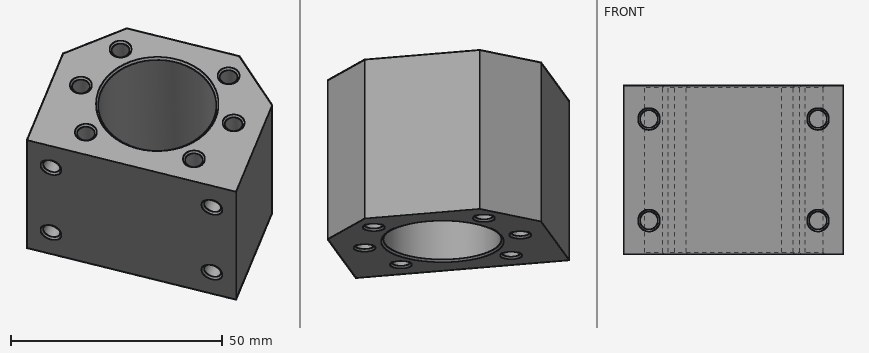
import cadquery as cq

width = 52.0
depth = 40.0
height = 40.0
corner_cut = 12.0

bore_diameter = 28.0
bore_chamfer = 0.5

hole_diameter = 4.2
hole_mouth_diameter = 5.2
hole_chamfer = (hole_mouth_diameter - hole_diameter) / 2

flange_circle_radius = 19.0
flange_hole_angles = (0, 45, 135, 180, 225, 315)

mount_spacing_x = 40.0
mount_spacing_z = 24.0
mount_hole_depth = 12.0


def make_block():
    """Rectangular block with its two vertical +Y corners cut at 45 degrees."""
    block = cq.Workplane("XY").box(width, depth, height)
    return block.faces(">Y").edges("|Z").chamfer(corner_cut)


def make_hole_cutter(diameter, length, chamfer, both_ends):
    """Cylinder centred on Z from the origin upward, flared at its chamfered ends."""
    radius = diameter / 2
    mouth_radius = radius + chamfer
    outline = cq.Workplane("XZ").lineTo(mouth_radius, 0).lineTo(radius, chamfer)
    if both_ends:
        outline = outline.lineTo(radius, length - chamfer).lineTo(mouth_radius, length)
    else:
        outline = outline.lineTo(radius, length)
    outline = outline.lineTo(0, length).close()
    return outline.revolve(360, (0, 0, 0), (0, 1, 0))


def cut_bore(body):
    cutter = make_hole_cutter(bore_diameter, height, bore_chamfer, both_ends=True)
    return body.cut(cutter.translate((0, 0, -height / 2)))


def cut_flange_holes(body):
    cutter = make_hole_cutter(hole_diameter, height, hole_chamfer, both_ends=True)
    cutter = cutter.translate((flange_circle_radius, 0, -height / 2))
    for angle in flange_hole_angles:
        body = body.cut(cutter.rotate((0, 0, 0), (0, 0, 1), angle))
    return body


def cut_mounting_holes(body):
    cutter = make_hole_cutter(hole_diameter, mount_hole_depth, hole_chamfer, both_ends=False)
    cutter = cutter.rotate((0, 0, 0), (1, 0, 0), -90)
    for side_x in (-1, 1):
        for side_z in (-1, 1):
            x = side_x * mount_spacing_x / 2
            z = side_z * mount_spacing_z / 2
            body = body.cut(cutter.translate((x, -depth / 2, z)))
    return body


result = cut_mounting_holes(cut_flange_holes(cut_bore(make_block())))